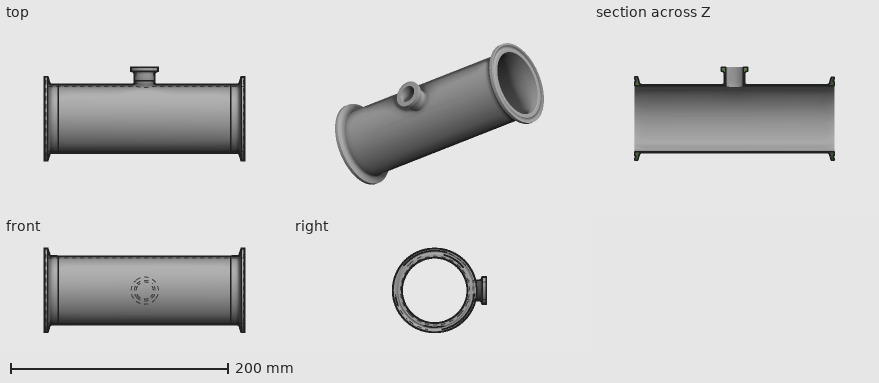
import cadquery as cq
import math

overall_length = 184.2
pipe_radius = 31.7
wall = 1.7
pipe_bore_radius = pipe_radius - wall
ferrule_length = 12.7
pipe_half_length = overall_length / 2 - ferrule_length

end_flange_radius = 38.7
end_rim = 3.0
end_cone_end = 5.2
end_neck_fillet = 1.7

groove_radius = 35.2
groove_width = 3.0
groove_depth = 1.1
face_round = 0.5

branch_face = 47.5
branch_radius = 9.5
branch_bore_radius = branch_radius - wall
branch_flange_radius = 12.5
branch_rim = 3.9
branch_cone_end = 4.6
branch_neck_fillet = 1.5
branch_joint = branch_face - ferrule_length
collar_fillet = 1.1

selection_margin = 0.2


def make_ferrule(flange_radius, neck_radius, bore_radius, rim, cone_end, neck_fillet):
    """Clamp ferrule along +X, with its sealing face at X = 0."""
    body = (
        cq.Workplane("XY")
        .moveTo(0, bore_radius)
        .lineTo(0, flange_radius)
        .lineTo(rim, flange_radius)
        .lineTo(cone_end, neck_radius)
        .lineTo(ferrule_length, neck_radius)
        .lineTo(ferrule_length, bore_radius)
        .close()
        .revolve(360, (0, 0, 0), (1, 0, 0))
    )
    root = cq.selectors.BoxSelector(
        (cone_end - selection_margin, -flange_radius, -flange_radius),
        (cone_end + selection_margin, flange_radius, flange_radius),
        boundingbox=True,
    )
    return body.edges(root).fillet(neck_fillet)


def make_gasket_groove():
    """Ring cut from the sealing face of an end ferrule."""
    half_width = groove_width / 2
    return (
        cq.Workplane("XY")
        .moveTo(0, groove_radius - half_width)
        .threePointArc((groove_depth, groove_radius), (0, groove_radius + half_width))
        .close()
        .revolve(360, (0, 0, 0), (1, 0, 0))
    )


def make_end_ferrule(turn):
    """Grooved end ferrule at -X, turned about Z to reach either end of the pipe."""
    ferrule = make_ferrule(
        end_flange_radius, pipe_radius, pipe_bore_radius, end_rim, end_cone_end, end_neck_fillet
    ).cut(make_gasket_groove())
    face_edges = ferrule.edges("<X")
    ferrule = face_edges.newObject(
        [edge for edge in face_edges.vals() if edge.radius() < end_flange_radius - selection_margin]
    ).fillet(face_round)
    return ferrule.translate((-overall_length / 2, 0, 0)).rotate((0, 0, 0), (0, 0, 1), turn)


def make_branch_ferrule():
    """Small ferrule with its sealing face toward +Y."""
    ferrule = make_ferrule(
        branch_flange_radius, branch_radius, branch_bore_radius,
        branch_rim, branch_cone_end, branch_neck_fillet,
    )
    return ferrule.rotate((0, 0, 0), (0, 0, 1), -90).translate((0, branch_face, 0))


def branch_cylinder(radius):
    """Cylinder from the pipe axis out to the branch joint."""
    return cq.Workplane("XZ").circle(radius).extrude(-branch_joint)


def make_pipe():
    """Run pipe with a filleted collar that carries the branch ferrule."""
    pipe = cq.Workplane("YZ").circle(pipe_radius).extrude(pipe_half_length, both=True)
    pipe = pipe.union(branch_cylinder(branch_radius))

    root_low = math.sqrt(pipe_radius**2 - branch_radius**2)
    root = cq.selectors.BoxSelector(
        (-branch_radius - selection_margin, root_low - selection_margin, -branch_radius - selection_margin),
        (branch_radius + selection_margin, pipe_radius + selection_margin, branch_radius + selection_margin),
        boundingbox=True,
    )
    pipe = pipe.edges(root).fillet(collar_fillet)

    bore = cq.Workplane("YZ").circle(pipe_bore_radius).extrude(pipe_half_length, both=True)
    return pipe.cut(bore).cut(branch_cylinder(branch_bore_radius))


pipe = make_pipe()
end_ferrules = [make_end_ferrule(turn) for turn in (0, 180)]
branch_ferrule = make_branch_ferrule()

result = cq.Compound.makeCompound(
    [body.solids().val() for body in (pipe, *end_ferrules, branch_ferrule)]
)